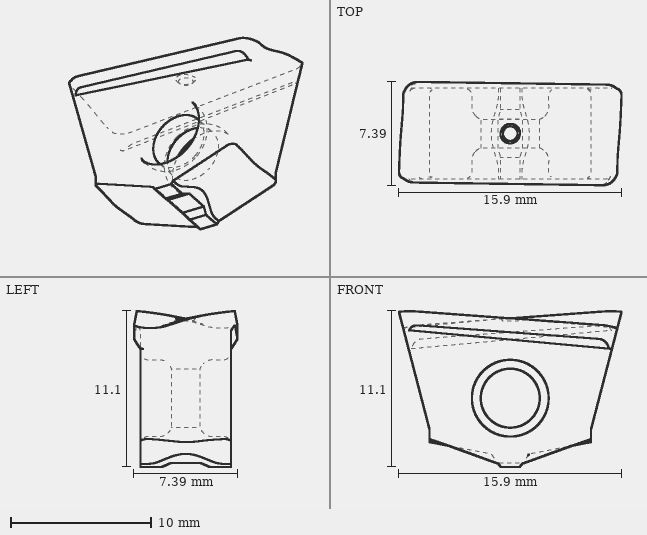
import cadquery as cq
import math

body_width = 6.48
blank_top = 11.91
shoulder_z = 2.68
shoulder_half = 5.76
flank_slope = 0.26
body_corner = 0.51
lip_corner = 1.11

lip_reach = 8.34
lip_low_half = 3.72
lip_high_half = 3.48
lip_start_z = 9.08
lip_start_slope = 0.092
lip_edge_z = 9.6
lip_edge_slope = 0.075

hole_z = 4.9
hole_radius = 2.1
seat_radius = 2.73
mouth_radius = 3.3
seat_depth = 1.11
throat_depth = 2.22

centre_z = 10.59
dimple_radius = 0.7
dimple_floor_radius = 0.52
dimple_depth = 0.19

foot_half = 0.68
foot_spread = 0.72
foot_height = 1.43
foot_notch_half = 1.03
foot_notch_mouth = 1.7
foot_notch_height = 0.29
roof_start = (0.84, 0.22)
roof_slope = 0.36
channel_start = (1.27, 0.92)
channel_slope = 0.19
channel_half = 2.75


def block_section(half_length, half_width, skew, corner):
    """Rounded plan outline whose long sides drift outward by skew per unit of X."""
    drift = skew * half_length
    points = [
        (-half_length, -half_width + drift),
        (half_length, -half_width - drift),
        (half_length, half_width - drift),
        (-half_length, half_width + drift),
    ]
    return cq.Sketch().polygon(points + points[:1]).vertices().fillet(corner)


def flared_block(half_width, skew, corner):
    """Upright block whose two ends lean outward above the shoulder."""
    top_half = shoulder_half + flank_slope * (blank_top - shoulder_z)
    foot_section = block_section(shoulder_half, half_width, skew, corner)
    top_section = block_section(top_half, half_width, skew, corner)
    base = cq.Workplane("XY").placeSketch(foot_section).extrude(shoulder_z)
    upper = cq.Workplane("XY").placeSketch(
        foot_section.moved(cq.Location(cq.Vector(0, 0, shoulder_z))),
        top_section.moved(cq.Location(cq.Vector(0, 0, blank_top))),
    ).loft()
    return base.union(upper)


def lip_section(x, half_width):
    """Lip cross-section for the -Y side, from the start of the body corner outward."""
    start_z = lip_start_z - lip_start_slope * x
    edge_z = lip_edge_z - lip_edge_slope * x
    root = body_width / 2 - body_corner
    points = [
        (-root, start_z),
        (-body_width / 2, start_z),
        (-half_width, edge_z),
        (-half_width, blank_top),
        (-root, blank_top),
    ]
    return cq.Wire.makePolygon([cq.Vector(x, y, z) for y, z in points], close=True)


def make_lips():
    """Both lips, rounded at the ends and trimmed to the flared flanks."""
    high = lip_section(-lip_reach, lip_high_half)
    low = lip_section(lip_reach, lip_low_half)
    lip = cq.Workplane(cq.Solid.makeLoft([high, low], True))
    lips = lip.union(lip.rotate((0, 0, 0), (0, 0, 1), 180))
    mean_half = (lip_low_half + lip_high_half) / 2
    skew = (lip_low_half - lip_high_half) / (2 * lip_reach)
    return lips.intersect(flared_block(mean_half, skew, lip_corner))


def top_envelope():
    """Solid below the top face, which is ruled from the centre to a wavy rim."""
    end_rim = [
        (-6.64, -3.51, 11.1),
        (-7.59, -3.06, 11.08),
        (-7.91, -2.29, 10.99),
        (-7.91, -1.19, 10.81),
        (-7.78, 0.32, 10.42),
        (-7.62, 1.8, 9.95),
        (-7.59, 2.7, 9.91),
        (-6.76, 3.7, 10.1),
    ]
    overrun = 1.15
    core = 0.05

    def rim_edges(scale, z_scale, offset):
        left = [cq.Vector(scale * x, scale * y, offset + z_scale * (z - centre_z)) for x, y, z in end_rim]
        right = [cq.Vector(-p.x, -p.y, p.z) for p in left]
        return [
            cq.Edge.makeSpline(left),
            cq.Edge.makeLine(left[-1], right[0]),
            cq.Edge.makeSpline(right),
            cq.Edge.makeLine(right[-1], left[0]),
        ]

    rim = rim_edges(overrun, overrun, centre_z)
    hub = rim_edges(core, 0, centre_z)
    base = rim_edges(overrun, 0, 0)
    faces = [cq.Face.makeFromWires(cq.Wire.assembleEdges(edges)) for edges in (hub, base)]
    for rim_edge, hub_edge, base_edge in zip(rim, hub, base):
        faces.append(cq.Face.makeRuledSurface(rim_edge, hub_edge))
        faces.append(cq.Face.makeRuledSurface(rim_edge, base_edge))
    return cq.Workplane(cq.Solid.makeSolid(cq.Shell.makeShell(faces)).fix())


def dimple():
    """Tapered recess, with clearance above for the rising top face."""
    floor = cq.Workplane("XY", origin=(0, 0, centre_z - dimple_depth)).circle(dimple_floor_radius)
    recess = floor.workplane(offset=dimple_depth).circle(dimple_radius).loft()
    return recess.faces(">Z").workplane().circle(dimple_radius).extrude(dimple_depth)


def fixing_hole():
    """Double-ended countersunk hole along Y with rounded mouths and seats."""
    face = body_width / 2
    mouth = mouth_radius - seat_radius
    seat = seat_radius - hole_radius
    diagonal = math.sqrt(0.5)
    half = (
        cq.Workplane("XY")
        .lineTo(hole_radius, 0)
        .lineTo(hole_radius, face - throat_depth)
        .threePointArc(
            (hole_radius + seat * diagonal, face - throat_depth + (throat_depth - seat_depth) * (1 - diagonal)),
            (seat_radius, face - seat_depth),
        )
        .lineTo(seat_radius, face - mouth)
        .threePointArc(
            (mouth_radius - mouth * diagonal, face - mouth * (1 - diagonal)),
            (mouth_radius, face),
        )
        .lineTo(0, face)
        .close()
        .revolve(360, (0, 0), (0, 1))
    )
    return half.union(half.mirror("XZ")).translate((0, 0, hole_z))


def roof_section(x):
    """Section below the sloping underside, with a blended central channel."""
    edge_z = roof_start[1] + roof_slope * (x - roof_start[0])
    middle_z = channel_start[1] + channel_slope * (x - channel_start[0])
    blend_z = (edge_z + middle_z) / 2
    side = lip_low_half
    depth = -1.59
    left = cq.Vector(x, -channel_half, edge_z)
    right = cq.Vector(x, channel_half, edge_z)
    crest = [
        left,
        cq.Vector(x, -channel_half / 2, blend_z),
        cq.Vector(x, 0, middle_z),
        cq.Vector(x, channel_half / 2, blend_z),
        right,
    ]
    level = cq.Vector(0, 1, 0)
    outline = [cq.Edge.makeSpline(crest, tangents=[level, level])]
    corners = [
        right,
        cq.Vector(x, side, edge_z),
        cq.Vector(x, side, depth),
        cq.Vector(x, -side, depth),
        cq.Vector(x, -side, edge_z),
        left,
    ]
    outline += [cq.Edge.makeLine(a, b) for a, b in zip(corners, corners[1:])]
    return cq.Wire.assembleEdges(outline)


def underside_cut():
    """Material removed on both sides of the central foot."""
    side = cq.Workplane(cq.Solid.makeLoft([roof_section(0), roof_section(shoulder_half + 0.8)], True))
    both = side.union(side.rotate((0, 0, 0), (0, 0, 1), 180))
    foot_top_half = foot_half + foot_spread * foot_height
    foot = (
        cq.Workplane("XZ")
        .polyline([(-foot_half, 0), (foot_half, 0), (foot_top_half, foot_height), (-foot_top_half, foot_height)])
        .close()
        .extrude(lip_low_half, both=True)
    )
    notch = (
        cq.Workplane("YZ")
        .polyline([
            (-foot_notch_mouth, 0),
            (-foot_notch_half, foot_notch_height),
            (foot_notch_half, foot_notch_height),
            (foot_notch_mouth, 0),
        ])
        .close()
        .extrude(shoulder_half, both=True)
    )
    return both.cut(foot).union(notch)


blank = flared_block(body_width / 2, 0, body_corner).union(make_lips())
result = blank.intersect(top_envelope()).cut(underside_cut()).cut(fixing_hole()).cut(dimple())